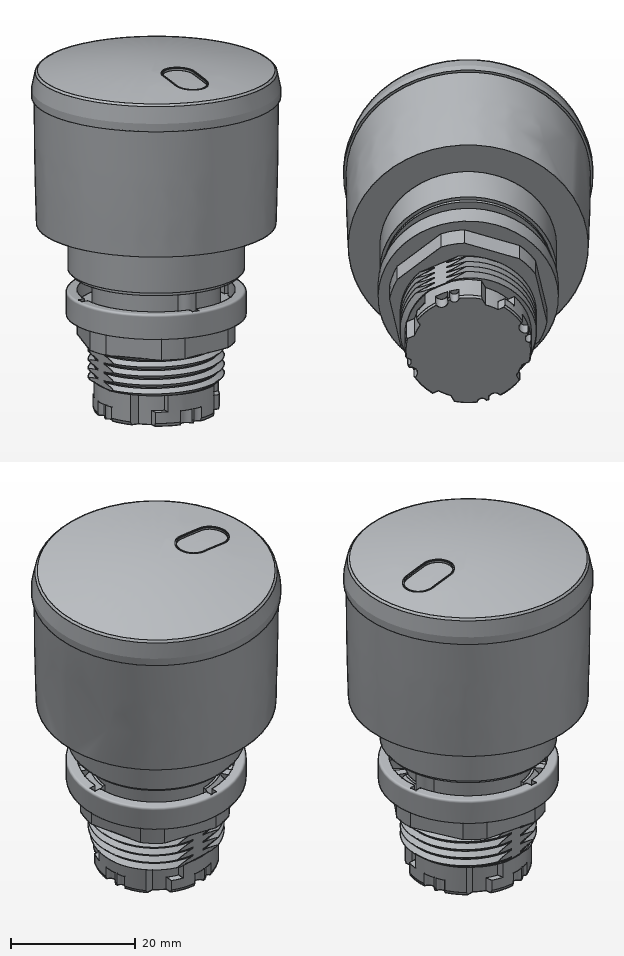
import cadquery as cq
import math

QUARTER_TURNS = (0, 90, 180, 270)

COLLAR_TOP_Z = 5.15
NUT_BOTTOM_Z = 11.9
FLANGE_BOTTOM_Z = 15.9
FLANGE_TOP_Z = 20.05
BODY_BOTTOM_Z = 23.05
BODY_STEP_Z = 23.6
SKIRT_BOTTOM_Z = 31.2
CAP_BOTTOM_Z = 52.45
CAP_BAND_TOP_Z = 53.75
CAP_SHOULDER_Z = 56.5
DOME_BASE_Z = 56.85
DOME_TOP_Z = 58.75

CAP_RADIUS = 20.1
CAP_SHOULDER_RADIUS = 19.5
DOME_RADIUS = 19.15
SKIRT_TOP_RADIUS = 19.7
SKIRT_BOTTOM_RADIUS = 19.3
SKIRT_SIDE_BULGE = 0.09
BODY_RADIUS = 28.5 / 2
BODY_STEP_RADIUS = 27.4 / 2
NECK_RADIUS = 20.75 / 2

MARK_LENGTH = 9.85
MARK_WIDTH = 5.65
MARK_CENTRE_X = 10
MARK_DEPTH = 0.45
MARK_STEP_DEPTH = 0.1
MARK_STEP_WIDTH = 0.25

FLANGE_RADIUS = 29.0 / 2
FLANGE_ROUNDING = 0.4
CAVITY_RADIUS = 25.5 / 2
CAVITY_DEPTH = 2.65
RING_NOTCH_RADIUS = 13.8
RING_NOTCH_WIDTH = 1.2

RAMP_TOP_RADIUS = 10.8
RAMP_TOP_DROP = 1.3
RAMP_START_ANGLE = 5
RAMP_END_ANGLE = 30
LEDGE_END_ANGLE = 37
LEDGE_DROP = 1.05

TAB_REACH = 12.35
TAB_END_RADIUS = 1.4

NUT_SIDES = 6
NUT_CORNER_DIAMETER = 25.75
NUT_ACROSS_FLATS = 23.95
NUT_CORNER_ANGLE = 45

THREAD_RADIUS = 22.0 / 2
THREAD_ROOT_RADIUS = 20.15 / 2
THREAD_PITCH = 6.0 / 4
THREAD_RIDGE_WIDTH = 1.45
THREAD_EMBED = 0.1
THREAD_FLAT_Y = 20.05 / 2
THREAD_TURNS = 7
THREAD_TURNS_BELOW_CREST = 5
CREST_Z_AT_PLUS_X = 10.35

COLLAR_RADIUS = 20.4 / 2
COLLAR_CHAMFER_HEIGHT = 0.5
COLLAR_CHAMFER_INSET = 0.2
POCKET_FLOOR_RADIUS = 18.2 / 2
POCKET_WALL_Y = -6.35
POCKET_UPPER_X = -2.95
POCKET_LOWER_X = -4.8
POCKET_STEP_Z = 2.4
SCALLOPS = [(0.25, 1.05), (2.4, 0.75)]


def cylinder(radius, bottom, top):
    return cq.Workplane("XY").workplane(offset=bottom).circle(radius).extrude(top - bottom)


def block(x_min, x_max, y_min, y_max, z_min, z_max):
    size = (x_max - x_min, y_max - y_min, z_max - z_min)
    return cq.Workplane("XY").box(*size, centered=False).translate((x_min, y_min, z_min))


def turned_about_axis(shape, angle):
    return shape.rotate((0, 0, 0), (0, 0, 1), angle)


def ring_sector(radius, start_angle, end_angle, bottom, top):
    """Wedge of a cylinder between two angles, measured from +X."""
    def on_circle(angle):
        return (radius * math.cos(math.radians(angle)), radius * math.sin(math.radians(angle)))

    middle_angle = (start_angle + end_angle) / 2
    return (
        cq.Workplane("XY").workplane(offset=bottom)
        .lineTo(*on_circle(start_angle))
        .threePointArc(on_circle(middle_angle), on_circle(end_angle))
        .close()
        .extrude(top - bottom)
    )


def make_mark_cutter(head, inset, depth):
    """Oblong cutter whose floor follows the dome at the given depth."""
    oblong = (
        cq.Workplane("XY").workplane(offset=CAP_SHOULDER_Z)
        .center(MARK_CENTRE_X, 0)
        .slot2D(MARK_LENGTH - 2 * inset, MARK_WIDTH - 2 * inset)
        .extrude(DOME_TOP_Z - CAP_SHOULDER_Z)
    )
    return oblong.cut(head.translate((0, 0, -depth)))


def make_head():
    """Neck, body, skirt, cap and dome as one turned profile."""
    skirt_middle = (
        (SKIRT_TOP_RADIUS + SKIRT_BOTTOM_RADIUS) / 2 + SKIRT_SIDE_BULGE,
        (CAP_BOTTOM_Z + SKIRT_BOTTOM_Z) / 2,
    )
    dome_rise = DOME_TOP_Z - DOME_BASE_Z
    sphere_radius = (DOME_RADIUS**2 + dome_rise**2) / (2 * dome_rise)
    dome_mid_radius = DOME_RADIUS / 2
    dome_mid_z = DOME_TOP_Z - sphere_radius + math.sqrt(sphere_radius**2 - dome_mid_radius**2)
    head = (
        cq.Workplane("XZ")
        .moveTo(0, FLANGE_BOTTOM_Z)
        .lineTo(NECK_RADIUS, FLANGE_BOTTOM_Z)
        .lineTo(NECK_RADIUS, BODY_BOTTOM_Z)
        .lineTo(BODY_STEP_RADIUS, BODY_BOTTOM_Z)
        .lineTo(BODY_STEP_RADIUS, BODY_STEP_Z)
        .lineTo(BODY_RADIUS, BODY_STEP_Z)
        .lineTo(BODY_RADIUS, SKIRT_BOTTOM_Z)
        .lineTo(SKIRT_BOTTOM_RADIUS, SKIRT_BOTTOM_Z)
        .threePointArc(skirt_middle, (SKIRT_TOP_RADIUS, CAP_BOTTOM_Z))
        .lineTo(CAP_RADIUS, CAP_BOTTOM_Z)
        .lineTo(CAP_RADIUS, CAP_BAND_TOP_Z)
        .lineTo(CAP_SHOULDER_RADIUS, CAP_SHOULDER_Z)
        .lineTo(DOME_RADIUS, DOME_BASE_Z)
        .threePointArc((dome_mid_radius, dome_mid_z), (0, DOME_TOP_Z))
        .close()
        .revolve(360, (0, 0, 0), (0, 1, 0))
    )
    rim = make_mark_cutter(head, 0, MARK_STEP_DEPTH)
    centre = make_mark_cutter(head, MARK_STEP_WIDTH, MARK_DEPTH)
    return head.cut(rim).cut(centre)


def make_tab():
    """Round-ended tab that bridges the flange cavity and the body."""
    straight_end = TAB_REACH - TAB_END_RADIUS
    bottom = FLANGE_TOP_Z - CAVITY_DEPTH
    shank = block(0, straight_end, -TAB_END_RADIUS, TAB_END_RADIUS, bottom, BODY_BOTTOM_Z)
    tip = cylinder(TAB_END_RADIUS, bottom, BODY_BOTTOM_Z).translate((straight_end, 0, 0))
    return shank.union(tip)


def make_stop():
    """Conical ramp and lower ledge beside the notch at angle zero."""
    floor = FLANGE_TOP_Z - CAVITY_DEPTH
    ramp_top = FLANGE_TOP_Z - RAMP_TOP_DROP
    foot_radius = RAMP_TOP_RADIUS + ramp_top - floor
    cone = (
        cq.Workplane("XZ")
        .moveTo(0, floor)
        .lineTo(foot_radius, floor)
        .lineTo(RAMP_TOP_RADIUS, ramp_top)
        .lineTo(0, ramp_top)
        .close()
        .revolve(360, (0, 0, 0), (0, 1, 0))
    )
    ramp = ring_sector(CAVITY_RADIUS, RAMP_START_ANGLE, RAMP_END_ANGLE, floor, ramp_top).intersect(cone)
    ledge = ring_sector(CAVITY_RADIUS, RAMP_END_ANGLE, LEDGE_END_ANGLE, floor, FLANGE_TOP_Z - LEDGE_DROP)
    return ramp.union(ledge)


def make_flange():
    """Rounded ring with an open cavity, four notches and four stops inside."""
    floor = FLANGE_TOP_Z - CAVITY_DEPTH
    half_notch = RING_NOTCH_WIDTH / 2
    flange = cylinder(FLANGE_RADIUS, FLANGE_BOTTOM_Z, FLANGE_TOP_Z).edges(">Z").fillet(FLANGE_ROUNDING)
    flange = flange.cut(cylinder(CAVITY_RADIUS, floor, FLANGE_TOP_Z))
    notch = block(0, RING_NOTCH_RADIUS, -half_notch, half_notch, floor, FLANGE_TOP_Z)
    for angle in QUARTER_TURNS:
        flange = flange.cut(turned_about_axis(notch, angle))
    stop = make_stop()
    mirrored_stop = stop.mirror("XZ")
    for half_turn in (0, 180):
        flange = flange.union(turned_about_axis(mirrored_stop, half_turn))
        flange = flange.union(turned_about_axis(stop, half_turn + 90))
    return flange


def make_nut():
    """Hexagonal nut below the flange."""
    height = FLANGE_BOTTOM_Z - NUT_BOTTOM_Z
    sharp_corner_diameter = NUT_ACROSS_FLATS / math.cos(math.pi / NUT_SIDES)
    hexagon = (
        cq.Workplane("XY").workplane(offset=NUT_BOTTOM_Z)
        .polygon(NUT_SIDES, sharp_corner_diameter)
        .extrude(height)
    )
    corner_limit = cylinder(NUT_CORNER_DIAMETER / 2, NUT_BOTTOM_Z, FLANGE_BOTTOM_Z)
    return turned_about_axis(hexagon, NUT_CORNER_ANGLE).intersect(corner_limit)


def make_thread():
    """Right-handed V thread, trimmed to the space between collar and nut."""
    start_z = CREST_Z_AT_PLUS_X - THREAD_PITCH * THREAD_TURNS_BELOW_CREST
    path = cq.Wire.makeHelix(THREAD_PITCH, THREAD_PITCH * THREAD_TURNS, THREAD_ROOT_RADIUS)
    base_radius = THREAD_ROOT_RADIUS - THREAD_EMBED
    half_width = THREAD_RIDGE_WIDTH / 2
    ridge = (
        cq.Workplane("XZ")
        .polyline([(base_radius, -half_width), (THREAD_RADIUS, 0), (base_radius, half_width)])
        .close()
        .sweep(cq.Workplane("XY").add(path), isFrenet=True)
        .translate((0, 0, start_z))
    )
    limits = block(
        -THREAD_RADIUS, THREAD_RADIUS, -THREAD_FLAT_Y, THREAD_FLAT_Y, COLLAR_TOP_Z, NUT_BOTTOM_Z
    )
    core = cylinder(THREAD_ROOT_RADIUS, 0, FLANGE_BOTTOM_Z)
    return core.union(ridge).intersect(limits)


def make_pocket():
    """Stepped pocket in the collar, wider above the step than below it."""
    lower = block(-COLLAR_RADIUS, POCKET_LOWER_X, -COLLAR_RADIUS, POCKET_WALL_Y, 0, POCKET_STEP_Z)
    upper = block(
        -COLLAR_RADIUS, POCKET_UPPER_X, -COLLAR_RADIUS, POCKET_WALL_Y, POCKET_STEP_Z, COLLAR_TOP_Z
    )
    return lower.union(upper).cut(cylinder(POCKET_FLOOR_RADIUS, 0, COLLAR_TOP_Z))


def make_collar():
    """Chamfered collar with its pockets and scallops cut in each quarter."""
    collar = cylinder(COLLAR_RADIUS, 0, COLLAR_TOP_Z)
    collar = collar.faces("<Z").chamfer(COLLAR_CHAMFER_HEIGHT, COLLAR_CHAMFER_INSET)
    cutters = make_pocket()
    for offset, radius in SCALLOPS:
        rim_y = -math.sqrt(COLLAR_RADIUS**2 - offset**2)
        cutters = cutters.union(cylinder(radius, 0, POCKET_STEP_Z).translate((offset, rim_y, 0)))
    for angle in QUARTER_TURNS:
        collar = collar.cut(turned_about_axis(cutters, angle))
    return collar


result = (
    make_head()
    .union(make_flange())
    .union(make_tab())
    .union(make_nut())
    .union(make_thread())
    .union(make_collar())
)